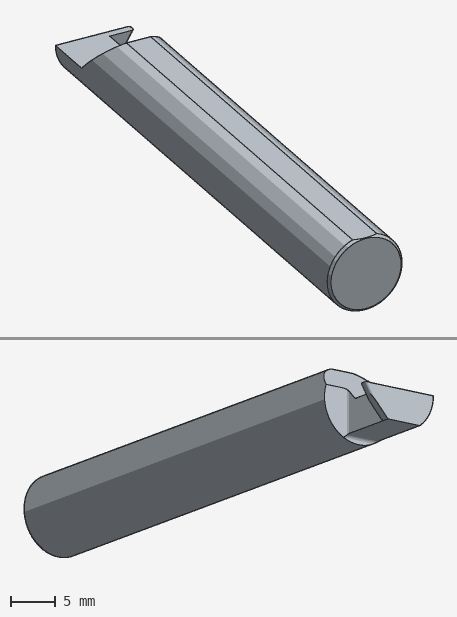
import cadquery as cq

length = 63.5
radius = 4.75
flat_height = 4.5
rear_chamfer = 0.3

ramp_start = 6.1
neck_length = 7.55
neck_side = 1.6
neck_bottom = -3.8
shoulder_fillet = 0.5

tooth_width = 1.0
tooth_reach = 4.7
tooth_corner = 0.25
relief_y = 3.95
relief_z = -1.3


def make_shank():
    bar = cq.Workplane("YZ").circle(radius).extrude(length)
    bar = bar.faces(">X").chamfer(rear_chamfer)
    above_flat = cq.Workplane("XY").box(
        length, 2 * radius, radius, centered=(False, True, False)
    ).translate((0, 0, flat_height))
    return bar.cut(above_flat)


def make_rake_cut():
    """Half-depth cut over the tip, ending in a 45 degree ramp."""
    return (
        cq.Workplane("XZ")
        .polyline([(0, 0), (ramp_start, 0), (ramp_start + radius, radius), (0, radius)])
        .close()
        .extrude(radius, both=True)
    )


def make_side_cut():
    """Clearance beside the neck, with a rounded inner end."""
    return (
        cq.Workplane("XY")
        .box(neck_length, radius, 2 * radius, centered=(False, False, True))
        .translate((0, neck_side, 0))
        .edges("|Z and >X and <Y")
        .fillet(shoulder_fillet)
    )


def make_bottom_cut():
    """Clearance below the neck, with a rounded inner end."""
    return (
        cq.Workplane("XY")
        .box(neck_length, 2 * radius, radius, centered=(False, True, False))
        .translate((0, 0, neck_bottom - radius))
        .edges("|Y and >X and >Z")
        .fillet(shoulder_fillet)
    )


def make_tooth():
    """Cutting tooth reaching sideways from the neck, relieved below its edge."""
    profile = [
        (0, 0),
        (tooth_reach, 0),
        (relief_y, relief_z),
        (neck_side, neck_bottom),
        (0, neck_bottom),
    ]
    tooth = cq.Workplane("YZ").polyline(profile).close().extrude(tooth_width)
    edge_center = ((tooth_reach + relief_y) / 2, relief_z / 2)
    for x in (0, tooth_width):
        corner = cq.selectors.NearestToPointSelector((x, *edge_center))
        tooth = tooth.edges(corner).fillet(tooth_corner)
    return tooth


body = make_shank().cut(make_rake_cut()).cut(make_side_cut()).cut(make_bottom_cut())
result = body.union(make_tooth())